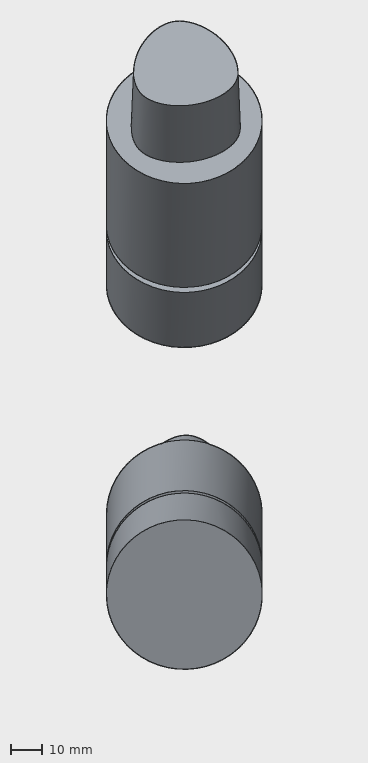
import cadquery as cq
import math

body_diameter = 50.0
total_height = 120.0
nut_height = 30.2
groove_width = 2.8
neck_diameter = 41.0
shank_height = 30.0
shank_base_width = 35.0
shank_taper = 1 / 20
lobe_eccentricity = 1.0
lobe_count = 3
curve_points = 72

shank_base_z = total_height - shank_height
groove_top_z = nut_height + groove_width


def lobed_outline(width, z):
    """Closed wire of constant width with three rounded lobes, one toward -Y."""
    points = []
    for i in range(curve_points):
        angle = 2 * math.pi * i / curve_points
        phase = lobe_count * (angle + math.pi / 2)
        reach = width / 2 + lobe_eccentricity * math.cos(phase)
        slope = -lobe_count * lobe_eccentricity * math.sin(phase)
        x = reach * math.cos(angle) - slope * math.sin(angle)
        y = reach * math.sin(angle) + slope * math.cos(angle)
        points.append(cq.Vector(x, y, z))
    return cq.Wire.assembleEdges([cq.Edge.makeSpline(points, periodic=True)])


def make_shank():
    """Tapered three-lobed coupling shank."""
    top_width = shank_base_width - shank_taper * shank_height
    base = lobed_outline(shank_base_width, shank_base_z)
    top = lobed_outline(top_width, total_height)
    return cq.Workplane(cq.Solid.makeLoft([base, top], True))


def make_adapter():
    """Main cylinder with the lobed shank on top and a narrower neck below."""
    neck = (
        cq.Workplane(origin=(0, 0, nut_height))
        .circle(neck_diameter / 2)
        .extrude(groove_width)
    )
    cylinder = (
        cq.Workplane(origin=(0, 0, groove_top_z))
        .circle(body_diameter / 2)
        .extrude(shank_base_z - groove_top_z)
    )
    return neck.union(cylinder).union(make_shank())


def make_nut():
    """Plain lower cylinder, against the end of the neck."""
    return cq.Workplane().circle(body_diameter / 2).extrude(nut_height)


adapter = make_adapter()
nut = make_nut()

result = cq.Compound.makeCompound([adapter.val(), nut.val()])